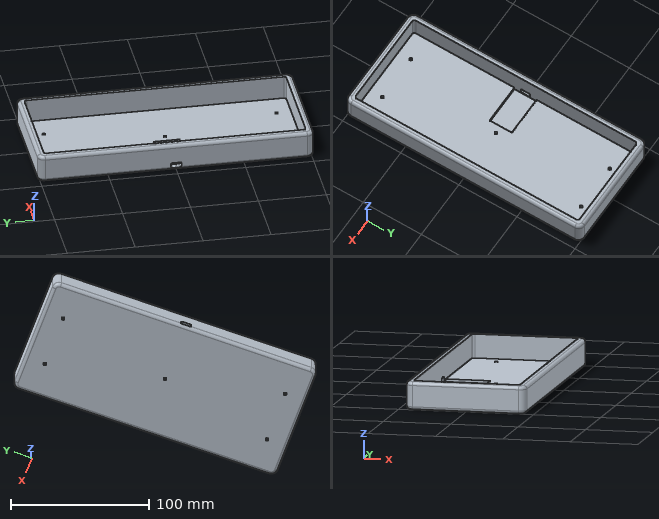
import cadquery as cq

length = 202.8
width = 88.8
height = 20.7
wall = 5.0
floor_thickness = 3.0
corner_radius = 5.0
edge_radius = 2.54
cavity_corner_radius = 1.8

hole_diameter = 2.0
hole_offset_x = 19.0
hole_offset_y = 85.6
hole_centers = [(0, 0)] + [
    (x, y)
    for x in (-hole_offset_x, hole_offset_x)
    for y in (-hole_offset_y, hole_offset_y)
]

recess_length = 33.0
recess_width = 19.0
recess_depth = 2.0

port_width = 8.0
port_height = 4.0
port_corner_radius = 1.5
port_center_z = 3.9

inner_wall_x = -width / 2 + wall


def make_shell():
    """Rounded block, hollowed from above."""
    block = cq.Workplane("XY").box(width, length, height, centered=(True, True, False))
    block = block.edges("|Z").fillet(corner_radius)
    block = block.faces("<Z or >Z").edges().fillet(edge_radius)
    cavity = (
        cq.Workplane("XY", origin=(0, 0, floor_thickness))
        .rect(width - 2 * wall, length - 2 * wall)
        .extrude(height)
        .edges("|Z")
        .fillet(cavity_corner_radius)
    )
    return block.cut(cavity)


def make_holes():
    return (
        cq.Workplane("XY")
        .pushPoints(hole_centers)
        .circle(hole_diameter / 2)
        .extrude(floor_thickness)
    )


def make_recess():
    return cq.Workplane("XY", origin=(inner_wall_x, 0, floor_thickness - recess_depth)).box(
        recess_length, recess_width, recess_depth, centered=(False, True, False)
    )


def make_port():
    """Slot with rounded corners reaching from outside to the inner wall face."""
    return (
        cq.Workplane("YZ", origin=(-width / 2, 0, port_center_z))
        .rect(port_width, port_height)
        .extrude(wall)
        .edges("|X")
        .fillet(port_corner_radius)
    )


result = make_shell().cut(make_holes()).cut(make_recess()).cut(make_port())